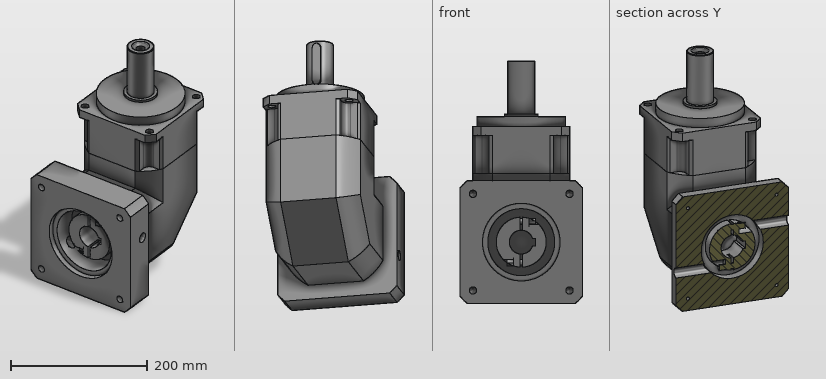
import cadquery as cq
import math


HALF_WIDTH = 71.2
CORNER_CIRCLE_RADIUS = 82.5
CORNER_START = math.sqrt(CORNER_CIRCLE_RADIUS**2 - HALF_WIDTH**2)

JOINT_Z = 100.7
FLANGE_BOTTOM_Z = 156.5
FLANGE_TOP_Z = 169.8
PILOT_TOP_Z = 184.0
COLLAR_TOP_Z = 187.5
SHAFT_TOP_Z = 266.0

PILOT_RADIUS = 65.0
COLLAR_RADIUS = 25.0
FLANGE_CHAMFER = 12.0
FLANGE_HOLE_RADIUS = 5.7
FLANGE_HOLE_OFFSET = 58.5
NOTCH_INNER = 47.0
NOTCH_FILLET = 10.5

SHAFT_RADIUS = 20.0
SHAFT_CHAMFER = 1.0
KEY_WIDTH = 12.0
KEY_LENGTH = 63.5
KEY_BOTTOM_Z = 198.0
KEY_OUTER_Y = 23.0
KEY_HEIGHT = 7.0
CENTRE_RIM_RADIUS = 13.0
CENTRE_CONE_RADIUS = 11.0
CENTRE_RIM_DEPTH = 1.0
CENTRE_CONE_DEPTH = 4.3
TAP_HOLE_RADIUS = 6.8
TAP_HOLE_DEPTH = 35.5
DRILL_TIP_ANGLE = 118.0

ARM_END_Y = -96.0
PLATE_BACK_Y = -104.3
PLATE_FRONT_Y = -150.0
OUTER_CUT_DISTANCE = 47.7

HUB_RADIUS = 36.5
HUB_RECESS = 21.5
HUB_FRONT_Y = PLATE_FRONT_Y + HUB_RECESS
HUB_BORE_RADIUS = 17.5
HUB_BORE_DEPTH = 42.7
HUB_KEYWAY_REACH = 21.0
HUB_KEYWAY_WIDTH = 10.7
HUB_SLOT_WIDTH = 3.5
SCREW_Y = -119.5
SCREW_Z = 30.3
SCREW_RADIUS = 4.5
SCREW_END_X = 21.0
SCREW_POCKET_RADIUS = 9.3
SCREW_POCKET_X = 11.0

PLATE_HALF_WIDTH = 90.0
PLATE_CORNER_RADIUS = 120.0
PLATE_BORE_RADIUS = 49.0
PLATE_RECESS_RADIUS = 57.0
PLATE_RECESS_DEPTH = 9.0
PLATE_HOLE_RADIUS = 5.5
PLATE_HOLE_OFFSET = 71.0
PLATE_HOLE_DEPTH = 28.5
ACCESS_HOLE_RADIUS = 7.5
ACCESS_HOLE_Z = 28.0


def z_cylinder(radius, z_start, z_end):
    return cq.Workplane("XY", origin=(0, 0, z_start)).circle(radius).extrude(z_end - z_start)


def y_cylinder(radius, y_start, y_end):
    """Cylinder on the input axis, running toward -Y from y_start to y_end."""
    return cq.Workplane("XZ", origin=(0, y_start, 0)).circle(radius).extrude(y_start - y_end)


def screw_axis_cylinder(radius, x_start, x_end, z):
    """Cylinder along X at the depth of the clamp screws."""
    plane = cq.Workplane("YZ", origin=(x_start, SCREW_Y, z))
    return plane.circle(radius).extrude(x_end - x_start)


def round_cornered_prism(plane, half_width, corner_radius, length):
    """Square prism whose four corners lie on a circle about its axis."""
    square = cq.Workplane(plane).rect(2 * half_width, 2 * half_width).extrude(length)
    return square.intersect(cq.Workplane(plane).circle(corner_radius).extrude(length))


def corner_points(offset):
    return [(sx * offset, sy * offset) for sx in (-1, 1) for sy in (-1, 1)]


def drill_tip_length(radius):
    return radius / math.tan(math.radians(DRILL_TIP_ANGLE / 2))


def make_centre_hole():
    """Stepped hole in the shaft end, revolved about Z."""
    tip_depth = TAP_HOLE_DEPTH + drill_tip_length(TAP_HOLE_RADIUS)
    steps = [
        (CENTRE_RIM_RADIUS, 0),
        (CENTRE_CONE_RADIUS, CENTRE_RIM_DEPTH),
        (TAP_HOLE_RADIUS, CENTRE_CONE_DEPTH),
        (TAP_HOLE_RADIUS, TAP_HOLE_DEPTH),
        (0, tip_depth),
    ]
    outline = [(0, SHAFT_TOP_Z)] + [(radius, SHAFT_TOP_Z - depth) for radius, depth in steps]
    return cq.Workplane("XZ").polyline(outline).close().revolve(360, (0, 0), (0, 1))


def make_shaft():
    shaft = z_cylinder(SHAFT_RADIUS, PILOT_TOP_Z, SHAFT_TOP_Z).faces(">Z").chamfer(SHAFT_CHAMFER)
    key = (
        cq.Workplane("XZ", origin=(0, KEY_OUTER_Y, KEY_BOTTOM_Z + KEY_LENGTH / 2))
        .slot2D(KEY_LENGTH, KEY_WIDTH, 90)
        .extrude(KEY_HEIGHT)
    )
    return shaft.union(key).cut(make_centre_hole())


def make_output_stage():
    """Notched housing with flange, pilot, collar and output shaft."""
    housing_plane = cq.Plane.XY(origin=(0, 0, JOINT_Z))
    notch_height = FLANGE_BOTTOM_Z - JOINT_Z
    body = round_cornered_prism(housing_plane, HALF_WIDTH, CORNER_CIRCLE_RADIUS, notch_height)
    notch_size = HALF_WIDTH
    notches = (
        cq.Workplane(housing_plane)
        .pushPoints(corner_points(NOTCH_INNER + notch_size / 2))
        .rect(notch_size, notch_size)
        .extrude(notch_height)
        .edges("|Z")
        .fillet(NOTCH_FILLET)
    )
    flange = (
        cq.Workplane("XY", origin=(0, 0, FLANGE_BOTTOM_Z))
        .rect(2 * HALF_WIDTH, 2 * HALF_WIDTH)
        .extrude(FLANGE_TOP_Z - FLANGE_BOTTOM_Z)
        .edges("|Z")
        .chamfer(FLANGE_CHAMFER)
        .faces(">Z")
        .workplane()
        .pushPoints(corner_points(FLANGE_HOLE_OFFSET))
        .hole(2 * FLANGE_HOLE_RADIUS)
    )
    pilot = z_cylinder(PILOT_RADIUS, FLANGE_TOP_Z, PILOT_TOP_Z)
    collar = z_cylinder(COLLAR_RADIUS, PILOT_TOP_Z, COLLAR_TOP_Z)
    return body.cut(notches).union(flange).union(pilot).union(collar).union(make_shaft())


def make_elbow_housing():
    """Two arms mitred at 45 degrees, with the outer corner cut by a third prism of the same section."""
    section_thickness = 3.5
    path = cq.Workplane("YZ").moveTo(0, JOINT_Z).lineTo(0, 0).lineTo(ARM_END_Y, 0)
    joint_plane = cq.Plane.XY(origin=(0, 0, JOINT_Z))
    section = round_cornered_prism(joint_plane, HALF_WIDTH, CORNER_CIRCLE_RADIUS, section_thickness)
    arms = section.faces("<Z").wires().toPending().sweep(path, transition="right", combine=False)

    reach = 3 * HALF_WIDTH
    start = -reach / math.sqrt(2)
    diagonal = cq.Plane(origin=(0, start, start), xDir=(1, 0, 0), normal=(0, 1, 1))
    circle_y = OUTER_CUT_DISTANCE - HALF_WIDTH
    side_y = circle_y + CORNER_START
    arc_mid = CORNER_CIRCLE_RADIUS / math.sqrt(2)
    outer_prism = (
        cq.Workplane(diagonal)
        .moveTo(-HALF_WIDTH, -reach)
        .lineTo(-HALF_WIDTH, side_y)
        .threePointArc((-arc_mid, circle_y + arc_mid), (-CORNER_START, OUTER_CUT_DISTANCE))
        .lineTo(CORNER_START, OUTER_CUT_DISTANCE)
        .threePointArc((arc_mid, circle_y + arc_mid), (HALF_WIDTH, side_y))
        .lineTo(HALF_WIDTH, -reach)
        .close()
        .extrude(2 * reach)
    )
    return arms.intersect(outer_prism)


def make_hub():
    """Slotted clamping hub with two opposed clamp screws."""
    hub = y_cylinder(HUB_RADIUS, PLATE_BACK_Y, HUB_FRONT_Y)
    slot_depth = PLATE_BACK_Y - HUB_FRONT_Y
    slot = (
        cq.Workplane("XZ", origin=(0, PLATE_BACK_Y, 0))
        .rect(HUB_SLOT_WIDTH, 2 * HUB_RADIUS)
        .extrude(slot_depth)
    )
    hub = hub.cut(slot)
    for side in (-1, 1):
        pocket_z = side * ACCESS_HOLE_Z
        pocket_start = side * SCREW_POCKET_X
        pocket = screw_axis_cylinder(SCREW_POCKET_RADIUS, pocket_start, side * HUB_RADIUS, pocket_z)
        screw_start = -side * HUB_SLOT_WIDTH
        screw = screw_axis_cylinder(SCREW_RADIUS, screw_start, side * SCREW_END_X, side * SCREW_Z)
        hub = hub.cut(pocket).union(screw)
    return hub


def make_elbow():
    """Elbow housing with its neck and clamping hub, bored for the motor shaft."""
    neck = y_cylinder(PILOT_RADIUS, ARM_END_Y, PLATE_BACK_Y)
    bore_end_y = HUB_FRONT_Y + HUB_BORE_DEPTH
    bore = y_cylinder(HUB_BORE_RADIUS, bore_end_y, HUB_FRONT_Y)
    keyway = (
        cq.Workplane("XZ", origin=(HUB_KEYWAY_REACH / 2, bore_end_y, 0))
        .rect(HUB_KEYWAY_REACH, HUB_KEYWAY_WIDTH)
        .extrude(HUB_BORE_DEPTH)
    )
    return make_elbow_housing().union(neck).union(make_hub()).cut(bore).cut(keyway)


def make_plate_hole():
    """Blind drilled hole along Y with a conical tip, open at the plate front."""
    hole_end_y = PLATE_FRONT_Y + PLATE_HOLE_DEPTH
    outline = [
        (0, PLATE_FRONT_Y),
        (PLATE_HOLE_RADIUS, PLATE_FRONT_Y),
        (PLATE_HOLE_RADIUS, hole_end_y),
        (0, hole_end_y + drill_tip_length(PLATE_HOLE_RADIUS)),
    ]
    return cq.Workplane("XY").polyline(outline).close().revolve(360, (0, 0), (0, 1))


def make_adapter_plate():
    """Square motor plate with stepped bore, corner holes and screw access holes."""
    back = cq.Plane.XZ(origin=(0, PLATE_BACK_Y, 0))
    thickness = PLATE_BACK_Y - PLATE_FRONT_Y
    plate = round_cornered_prism(back, PLATE_HALF_WIDTH, PLATE_CORNER_RADIUS, thickness)
    plate = plate.cut(y_cylinder(PLATE_BORE_RADIUS, PLATE_BACK_Y, PLATE_FRONT_Y))
    plate = plate.cut(y_cylinder(PLATE_RECESS_RADIUS, PLATE_FRONT_Y + PLATE_RECESS_DEPTH, PLATE_FRONT_Y))
    hole = make_plate_hole()
    for x, z in corner_points(PLATE_HOLE_OFFSET):
        plate = plate.cut(hole.translate((x, 0, z)))
    for side in (-1, 1):
        access = screw_axis_cylinder(ACCESS_HOLE_RADIUS, 0, side * PLATE_HALF_WIDTH, side * ACCESS_HOLE_Z)
        plate = plate.cut(access)
    return plate


output_stage = make_output_stage().solids()
elbow = make_elbow().solids()
adapter_plate = make_adapter_plate().solids()

result = cq.Compound.makeCompound([output_stage.val(), elbow.val(), adapter_plate.val()])